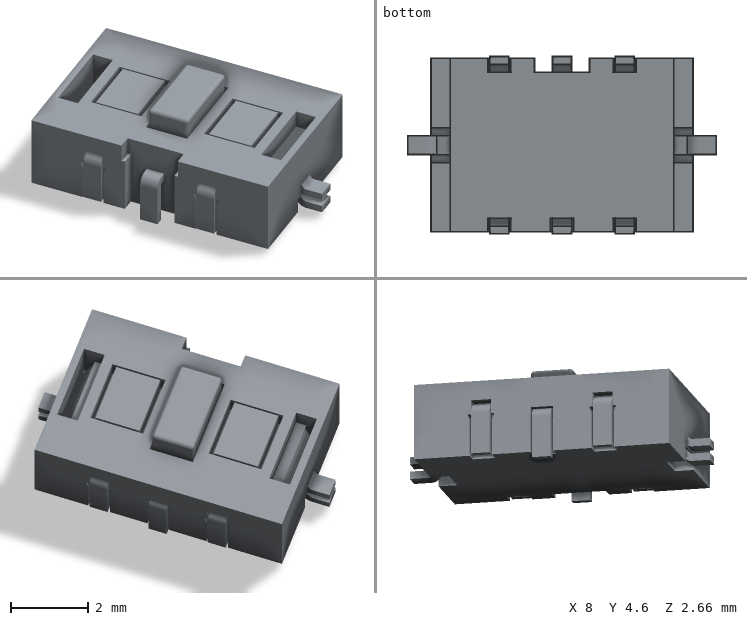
import cadquery as cq
import math

overall_x = 8.0
overall_y = 4.6
cover_x = 6.8
lead_protrusion_y = 0.05
cover_y = overall_y - 2 * lead_protrusion_y
cover_z = 2.0
end_wall = 0.5
tunnel_top = 1.51
base_top = 1.11
inner_x = cover_x - 2 * end_wall

button_x = 1.14
button_y = 2.3
button_rise = 0.5
button_round = 0.1
button_hole_x = 1.19
button_hole_y = 2.49

station_x = 1.62
pad_x = 1.21
pad_y = 1.62
window_x = 1.46
window_y = 1.72

slot_x = 0.57
slot_y = 2.1
slot_outer_x = 3.2
hook_y = 1.91
hook_drop = 0.6

notch_depth = 0.36
cover_notch_x = 1.62
core_notch_x = 1.42

lead_width = 0.5
lead_thick = 0.2
bend_inner = 0.06
bend_outer = bend_inner + lead_thick
outer_lead_top = 1.41
outer_lead_bottom = 0.05
center_lead_top = 1.2
center_lead_bottom = -0.16
lead_slot_depth = notch_depth

lead_slot_x = 0.6
funnel_x = 0.99
funnel_height = 0.56
lead_recess_x = 0.54
lead_recess_top = 1.49

end_bend_x = 3.53
upper_tail_bottom = 0.44
lower_tail_bottom = 0.05
strip_rise = 0.18
end_notch_y = 0.9
end_notch_top = 0.4


def block(x_size, y_size, bottom, top, x=0.0, y=0.0):
    """Upright box centred on (x, y) between two heights."""
    box = cq.Workplane("XY").box(x_size, y_size, top - bottom, centered=(True, True, False))
    return box.translate((x, y, bottom))


def front_notch(width, bottom, top):
    """Box that opens the front face, from one height to another."""
    return block(width, notch_depth, bottom, top, y=(notch_depth - cover_y) / 2)


def funnel_slot(x, side, top):
    """Lead slot in the front (side -1) or back (side 1) face that flares out towards its top."""
    kink = top - funnel_height
    half_slot = lead_slot_x / 2
    half_funnel = funnel_x / 2
    outline = [
        (x - half_slot, 0),
        (x - half_slot, kink),
        (x - half_funnel, top),
        (x + half_funnel, top),
        (x + half_slot, kink),
        (x + half_slot, 0),
    ]
    slot = cq.Workplane("XZ").polyline(outline).close().extrude(lead_slot_depth / 2, both=True)
    return slot.translate((0, side * (cover_y - lead_slot_depth) / 2, 0))


def funnel_slots(top):
    """The four funnel slots of the outer leads."""
    slots = [funnel_slot(x, side, top) for x in (-station_x, station_x) for side in (-1, 1)]
    return cq.Workplane(cq.Compound.makeCompound([slot.val() for slot in slots]))


def lead_strip(x, top, bottom):
    """Strip across the part in Y with both ends bent down outside the cover."""
    tip = overall_y / 2
    inner_tip = tip - lead_thick
    under = top - lead_thick
    diagonal = math.sqrt(0.5)
    outer_mid = bend_outer * (1 - diagonal)
    inner_mid = bend_outer - bend_inner * diagonal
    return (
        cq.Workplane("YZ")
        .moveTo(-tip, bottom)
        .lineTo(-tip, top - bend_outer)
        .threePointArc((-tip + outer_mid, top - outer_mid), (-tip + bend_outer, top))
        .lineTo(tip - bend_outer, top)
        .threePointArc((tip - outer_mid, top - outer_mid), (tip, top - bend_outer))
        .lineTo(tip, bottom)
        .lineTo(inner_tip, bottom)
        .lineTo(inner_tip, top - bend_outer)
        .threePointArc((tip - inner_mid, top - inner_mid), (tip - bend_outer, under))
        .lineTo(-tip + bend_outer, under)
        .threePointArc((-tip + inner_mid, top - inner_mid), (-inner_tip, top - bend_outer))
        .lineTo(-inner_tip, bottom)
        .close()
        .extrude(lead_width / 2, both=True)
        .translate((x, 0, 0))
    )


def end_strip(tail_bottom):
    """Strip along the part in X; its flat tails bend up at 45 degrees into the cover."""
    bend_angle = math.radians(45)
    tip = overall_x / 2
    tail_top = tail_bottom + lead_thick

    def arc_point(radius, angle):
        drop = radius * math.cos(angle)
        return (end_bend_x - radius * math.sin(angle), tail_top + bend_inner - drop)

    upper_bend_end = arc_point(bend_inner, bend_angle)
    lower_bend_end = arc_point(bend_outer, bend_angle)
    inner_top = tail_top + strip_rise
    inner_bottom = inner_top - lead_thick
    upper_knee = (upper_bend_end[0] - (inner_top - upper_bend_end[1]), inner_top)
    lower_knee = (lower_bend_end[0] - (inner_bottom - lower_bend_end[1]), inner_bottom)
    half = (
        cq.Workplane("XZ")
        .moveTo(0, inner_top)
        .lineTo(*upper_knee)
        .lineTo(*upper_bend_end)
        .threePointArc(arc_point(bend_inner, bend_angle / 2), (end_bend_x, tail_top))
        .lineTo(tip, tail_top)
        .lineTo(tip, tail_bottom)
        .lineTo(end_bend_x, tail_bottom)
        .threePointArc(arc_point(bend_outer, bend_angle / 2), lower_bend_end)
        .lineTo(*lower_knee)
        .lineTo(0, inner_bottom)
        .close()
        .extrude(lead_width / 2, both=True)
    )
    return half.union(half.mirror("YZ"))


def hook(side):
    """Snap hook on one X end of the frame, its top sloping down and outwards."""
    root = inner_x / 2
    outline = [(root, tunnel_top), (slot_outer_x, tunnel_top - hook_drop), (root, tunnel_top - hook_drop)]
    wedge = cq.Workplane("XZ").polyline(outline).close().extrude(hook_y / 2, both=True)
    return wedge if side > 0 else wedge.mirror("YZ")


outer_leads = [lead_strip(x, outer_lead_top, outer_lead_bottom) for x in (-station_x, station_x)]
center_lead = lead_strip(0, center_lead_top, center_lead_bottom)
end_strips = [end_strip(bottom) for bottom in (upper_tail_bottom, lower_tail_bottom)]
back_lead_slot = block(
    lead_slot_x, lead_slot_depth, 0, center_lead_top, y=(cover_y - lead_slot_depth) / 2
)


def make_cover():
    """Housing open below and at front and back, with tabs that reach down around the outer leads."""
    cover = block(cover_x, cover_y, 0, cover_z).cut(block(inner_x, cover_y, 0, tunnel_top))
    tabs = funnel_slots(tunnel_top).intersect(block(inner_x, cover_y, base_top, tunnel_top))
    cover = cover.union(tabs)
    for x in (-station_x, station_x):
        cover = cover.cut(block(lead_recess_x, cover_y, 0, lead_recess_top, x=x).intersect(tabs))
    cover = cover.cut(front_notch(cover_notch_x, tunnel_top, cover_z))
    cover = cover.cut(block(button_hole_x, button_hole_y, tunnel_top, cover_z))
    for side in (-1, 1):
        cover = cover.cut(block(window_x, window_y, tunnel_top, cover_z, x=side * station_x))
        slot_center = side * (slot_outer_x - slot_x / 2)
        cover = cover.cut(block(slot_x, slot_y, tunnel_top, cover_z, x=slot_center))
        pocket_x = slot_outer_x - inner_x / 2
        pocket_center = side * (inner_x / 2 + pocket_x / 2)
        cover = cover.cut(block(pocket_x, slot_y, tunnel_top - hook_drop, tunnel_top, x=pocket_center))
        wall_center = side * (cover_x - end_wall) / 2
        cover = cover.cut(block(end_wall, end_notch_y, 0, end_notch_top, x=wall_center))
    for strip in end_strips:
        cover = cover.cut(strip)
    return cover


def make_frame():
    """Layer between base and cover, with pads, snap hooks and legs that line the base's funnels."""
    frame = block(inner_x, cover_y, base_top, tunnel_top)
    legs = funnel_slots(base_top).intersect(block(inner_x, cover_y, base_top - funnel_height, base_top))
    frame = frame.union(legs)
    frame = frame.cut(funnel_slots(tunnel_top))
    frame = frame.cut(front_notch(core_notch_x, base_top, tunnel_top)).cut(back_lead_slot)
    for side in (-1, 1):
        frame = frame.union(block(pad_x, pad_y, tunnel_top, cover_z, x=side * station_x))
        frame = frame.union(hook(side))
    for strip in [*outer_leads, center_lead]:
        frame = frame.cut(strip)
    return frame


def make_base():
    """Bottom block that carries the strips."""
    base = block(inner_x, cover_y, 0, base_top)
    base = base.cut(funnel_slots(base_top))
    base = base.cut(front_notch(core_notch_x, 0, base_top)).cut(back_lead_slot)
    for strip in [center_lead, *end_strips]:
        base = base.cut(strip)
    return base


def make_button():
    """Rounded key that stands on the frame and rises through the cover."""
    key = block(button_x, button_y, tunnel_top, cover_z + button_rise)
    return key.edges("|Z or >Z").fillet(button_round)


cover = make_cover()
frame = make_frame()
base = make_base()
button = make_button()

result = cq.Compound.makeCompound([
    cover.solids().val(),
    frame.solids().val(),
    base.solids().val(),
    button.solids().val(),
    center_lead.solids().val(),
    *[lead.solids().val() for lead in outer_leads],
    *[strip.solids().val() for strip in end_strips],
])